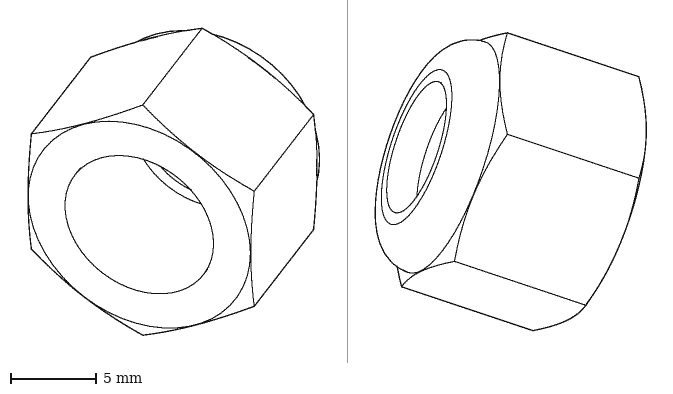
import cadquery as cq
import math

across_flats = 14.3
total_length = 11.51
hex_length = 9.55
bore_diameter = 9.53
insert_bore_diameter = 8.08
face_diameter = 14.25
chamfer_depth = 0.5

across_corners = across_flats / math.cos(math.radians(30))
collar_length = total_length - hex_length
collar_diameter = face_diameter
collar_round = collar_length
insert_length = collar_length


def cylinder(diameter, start, length):
    """Cylinder about the Y axis, from Y = start towards +Y."""
    return cq.Workplane("XZ", origin=(0, start, 0)).circle(diameter / 2).extrude(-length)


def make_corner_envelope():
    """Turned profile that cuts the chamfers on the hex corners at both ends."""
    return (
        cq.Workplane("XY")
        .moveTo(0, 0)
        .lineTo(face_diameter / 2, 0)
        .lineTo(across_corners / 2, chamfer_depth)
        .lineTo(across_corners / 2, hex_length - chamfer_depth)
        .lineTo(face_diameter / 2, hex_length)
        .lineTo(0, hex_length)
        .close()
        .revolve(360, (0, 0, 0), (0, 1, 0))
    )


def make_hex():
    """Hexagonal wrench section with corners on the Z axis and chamfered ends."""
    prism = (
        cq.Workplane("XZ")
        .transformed(rotate=(0, 0, 90))
        .polygon(6, across_corners)
        .extrude(-hex_length)
    )
    return prism.intersect(make_corner_envelope())


def make_collar():
    """Round collar behind the hex, turned with a quarter-round outer rim."""
    radius = collar_diameter / 2
    return (
        cq.Workplane("XY")
        .moveTo(0, hex_length)
        .lineTo(radius, hex_length)
        .radiusArc((radius - collar_round, total_length), -collar_round)
        .lineTo(0, total_length)
        .close()
        .revolve(360, (0, 0, 0), (0, 1, 0))
    )


def make_nut():
    """Hex and collar in one piece, bored straight through."""
    return make_hex().union(make_collar()).cut(cylinder(bore_diameter, 0, total_length))


def make_locking_insert():
    """Plain locking ring that fills the bore inside the collar."""
    ring = cylinder(bore_diameter, hex_length, insert_length)
    return ring.cut(cylinder(insert_bore_diameter, hex_length, insert_length))


nut = make_nut()
locking_insert = make_locking_insert()

result = cq.Compound.makeCompound([nut.val(), locking_insert.val()])